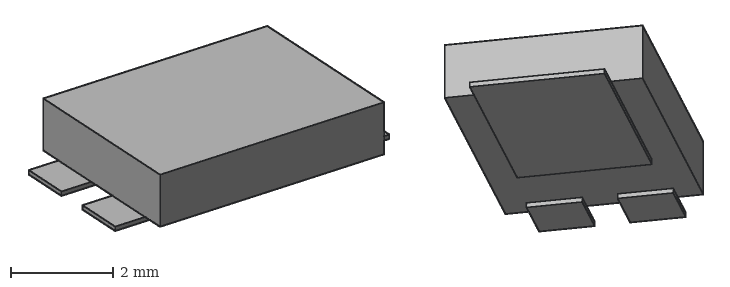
import cadquery as cq

overall_length = 6.64
body_width = 3.97
overall_height = 1.25
pad_thickness = 0.1
rear_overhang = 0.57
front_overhang = 0.71
large_pad_width = 2.7
large_pad_length = 4.18
small_pad_side = 1.115
small_pad_pitch = 1.825

body_length = overall_length - rear_overhang - front_overhang
body_height = overall_height - pad_thickness
front_end = -overall_length / 2
rear_end = overall_length / 2


def make_block(width, length, height, center_x, front_y, bottom_z):
    """Rectangular block centred on center_x, reaching back from front_y and up from bottom_z."""
    return (
        cq.Workplane("XY")
        .box(width, length, height, centered=(True, False, False))
        .translate((center_x, front_y, bottom_z))
    )


def make_body():
    """Package body resting on top of the pads."""
    return make_block(body_width, body_length, body_height, 0, front_end + front_overhang, pad_thickness)


def make_large_pad():
    """Wide pad under the body, ending at the rear."""
    return make_block(large_pad_width, large_pad_length, pad_thickness, 0, rear_end - large_pad_length, 0)


def make_small_pad(center_x):
    """Square pad at the front end."""
    return make_block(small_pad_side, small_pad_side, pad_thickness, center_x, front_end, 0)


body = make_body()
large_pad = make_large_pad()
small_pads = [make_small_pad(side * small_pad_pitch / 2) for side in (-1, 1)]

result = cq.Compound.makeCompound(
    [body.val(), large_pad.val(), *[pad.val() for pad in small_pads]]
)